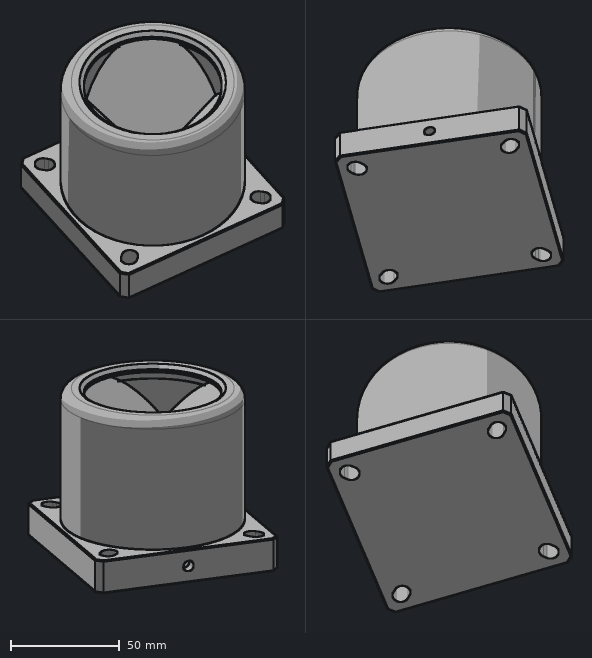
import cadquery as cq
import math

base_width = 90.0
base_height = 16.0
corner_chamfer = 3.0
edge_chamfer = 0.495
slot_spacing = 71.8
slot_width = 7.5
slot_length = 9.3
side_hole_diameter = 5.0
side_hole_depth = 5.4
drill_point_angle = 118.0

total_height = 80.0
tube_radius = 42.5
rim_fillet = 5.0
foot_chamfer = 0.3
aperture_radius = 31.7
aperture_chamfer = 2.0
lip_thickness = 2.5
bore_radius = 34.9

ring_thickness = 1.0
skirt_length = 4.05

mirror_count = 3
first_mirror_angle = 30.0
mirror_radius = 34.4
vertex_height = 28.9
face_slope = math.sqrt(2.0)

lip_bottom = total_height - lip_thickness
ring_bottom = lip_bottom - ring_thickness
skirt_bottom = ring_bottom - skirt_length


def cylinder(radius, bottom, top):
    return cq.Workplane("XY").workplane(offset=bottom).circle(radius).extrude(top - bottom)


def make_mounting_slot(x_side, y_side):
    """Through slot in one base corner, long along the diagonal."""
    return (
        cq.Workplane("XY")
        .center(x_side * slot_spacing / 2, y_side * slot_spacing / 2)
        .slot2D(slot_length, slot_width, 45 * x_side * y_side)
        .extrude(base_height)
    )


def make_side_hole():
    """Blind hole from the -X side, with a drill point at its inner end."""
    radius = side_hole_diameter / 2
    point_length = radius / math.tan(math.radians(drill_point_angle / 2))
    return (
        cq.Workplane("XY")
        .polyline([
            (0, 0),
            (0, radius),
            (side_hole_depth, radius),
            (side_hole_depth + point_length, 0),
        ])
        .close()
        .revolve(360, (0, 0, 0), (1, 0, 0))
        .translate((-base_width / 2, 0, base_height / 2))
    )


def make_base():
    base = cq.Workplane("XY").rect(base_width, base_width).extrude(base_height)
    base = base.edges("|Z").chamfer(corner_chamfer)
    base = base.faces("<Z or >Z").edges().chamfer(edge_chamfer)
    for x_side in (-1, 1):
        for y_side in (-1, 1):
            base = base.cut(make_mounting_slot(x_side, y_side))
    return base.cut(make_side_hole())


def make_aperture():
    """Round opening through the lip, flared at the top."""
    flare_radius = aperture_radius + aperture_chamfer
    return (
        cq.Workplane("XZ")
        .polyline([
            (0, lip_bottom),
            (aperture_radius, lip_bottom),
            (aperture_radius, total_height - aperture_chamfer),
            (flare_radius, total_height),
            (0, total_height),
        ])
        .close()
        .revolve(360, (0, 0, 0), (0, 1, 0))
    )


def make_cover():
    """Tube with a rounded rim, bored from below up to the lip."""
    cover = cylinder(tube_radius, base_height, total_height)
    cover = cover.edges(">Z").fillet(rim_fillet)
    cover = cover.edges("<Z").chamfer(foot_chamfer)
    cover = cover.cut(cylinder(bore_radius, base_height, lip_bottom))
    return cover.cut(make_aperture())


def make_retaining_ring():
    """L-section ring that presses on the mirrors and keeps them clear of the bore."""
    ring = cylinder(bore_radius, skirt_bottom, lip_bottom)
    ring = ring.cut(cylinder(mirror_radius, skirt_bottom, ring_bottom))
    return ring.cut(cylinder(aperture_radius, ring_bottom, lip_bottom))


def make_mirror(angle):
    """A third of the reflector: a 120-degree sector below one sloping mirror face."""
    rim_height = vertex_height + face_slope * mirror_radius
    wedge = (
        cq.Workplane("XZ")
        .polyline([
            (0, base_height),
            (mirror_radius, base_height),
            (mirror_radius, rim_height),
            (0, vertex_height),
        ])
        .close()
        .extrude(mirror_radius, both=True)
    )
    reach = 2 * mirror_radius
    half_width = reach * math.tan(math.pi / mirror_count)
    sector = (
        cq.Workplane("XY")
        .workplane(offset=base_height)
        .polyline([(0, 0), (reach, -half_width), (reach, half_width)])
        .close()
        .extrude(ring_bottom - base_height)
    )
    mirror = wedge.intersect(sector).intersect(cylinder(mirror_radius, base_height, ring_bottom))
    return mirror.rotate((0, 0, 0), (0, 0, 1), angle)


base = make_base()
cover = make_cover()
retaining_ring = make_retaining_ring()
mirrors = [
    make_mirror(first_mirror_angle + index * 360 / mirror_count)
    for index in range(mirror_count)
]

result = cq.Compound.makeCompound(
    [base.val(), cover.val(), retaining_ring.val(), *[mirror.val() for mirror in mirrors]]
)